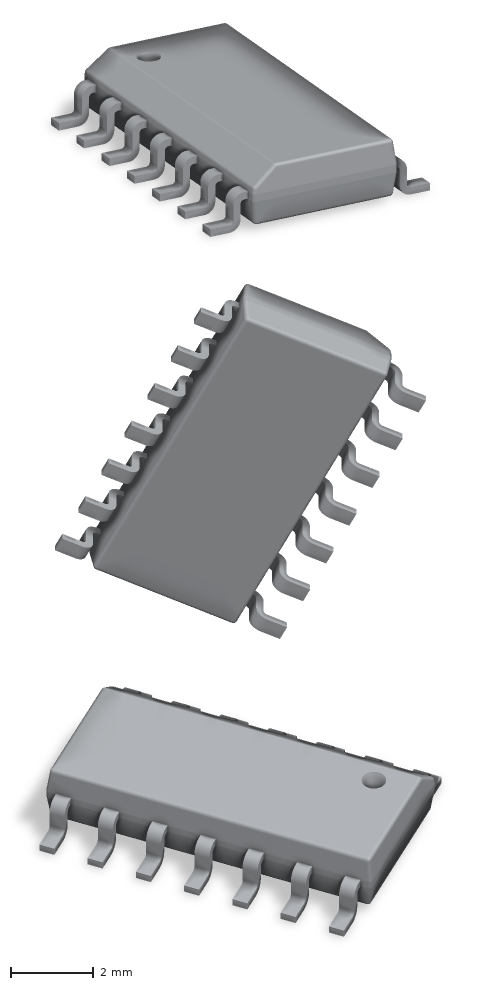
import cadquery as cq
import math

BODY_LENGTH = 8.6
BODY_WIDTH = 4.01
LEAD_SPAN = 6.08
OVERALL_HEIGHT = 1.65
STANDOFF = 0.15

LEAD_COUNT = 7
LEAD_PITCH = 1.27
LEAD_WIDTH = 0.395
LEAD_THICKNESS = 0.2
SHANK_INSET = 0.64
INNER_BEND_RADIUS = 0.1
OUTER_BEND_RADIUS = INNER_BEND_RADIUS + LEAD_THICKNESS

BAND_BOTTOM = (STANDOFF + OVERALL_HEIGHT - LEAD_THICKNESS) / 2
BAND_TOP = BAND_BOTTOM + LEAD_THICKNESS
DRAFT_ANGLE = 7.0
EDGE_RADIUS = 0.095
TOLERANCE = 0.001

BEVEL_TOP_Y = -1.35
BEVEL_WALL_HEIGHT = 1.15

DIMPLE_RIM_RADIUS = 0.3
DIMPLE_DEPTH = 0.2
DIMPLE_X = -3.18
DIMPLE_Y = -0.79


def make_drafted_half(start_height, end_height):
    """Part of the housing that narrows from the band out to end_height."""
    return (
        cq.Workplane("XY", origin=(0, 0, start_height))
        .rect(BODY_LENGTH, BODY_WIDTH)
        .extrude(end_height - start_height, taper=DRAFT_ANGLE)
    )


def make_bevel_cutter():
    """Prism whose sloping face, carried on past the wall, is the bevel."""
    wall_y = (BEVEL_WALL_HEIGHT - BAND_TOP) * math.tan(math.radians(DRAFT_ANGLE)) - BODY_WIDTH / 2
    overshoot = 2
    outer_y = BEVEL_TOP_Y - overshoot * (BEVEL_TOP_Y - wall_y)
    outer_z = OVERALL_HEIGHT - overshoot * (OVERALL_HEIGHT - BEVEL_WALL_HEIGHT)
    return (
        cq.Workplane("YZ")
        .moveTo(BEVEL_TOP_Y, OVERALL_HEIGHT)
        .lineTo(outer_y, outer_z)
        .lineTo(outer_y, OVERALL_HEIGHT)
        .close()
        .extrude(BODY_LENGTH, both=True)
    )


def is_band_rim(edge):
    """True for the level edges where the band meets the drafted walls."""
    box = edge.BoundingBox()
    is_level = box.zlen < TOLERANCE
    in_band = BAND_BOTTOM - TOLERANCE < edge.Center().z < BAND_TOP + TOLERANCE
    return is_level and in_band


def make_dimple_ball():
    """Ball that dips DIMPLE_DEPTH into the top face and cuts it in the dimple's rim."""
    ball_radius = (DIMPLE_RIM_RADIUS**2 + DIMPLE_DEPTH**2) / (2 * DIMPLE_DEPTH)
    center_z = OVERALL_HEIGHT - DIMPLE_DEPTH + ball_radius
    return cq.Workplane("XY", origin=(DIMPLE_X, DIMPLE_Y, center_z)).sphere(ball_radius)


def make_housing_shell():
    """The rounded and bevelled housing with its dimple, before the leads are let in."""
    band = (
        cq.Workplane("XY", origin=(0, 0, BAND_BOTTOM))
        .rect(BODY_LENGTH, BODY_WIDTH)
        .extrude(LEAD_THICKNESS)
    )
    upper = make_drafted_half(BAND_TOP, OVERALL_HEIGHT).cut(make_bevel_cutter())
    lower = make_drafted_half(BAND_BOTTOM, STANDOFF)
    blank = band.union(upper).union(lower)
    rounded_edges = [edge for edge in blank.edges().vals() if not is_band_rim(edge)]
    rounded = blank.newObject(rounded_edges).fillet(EDGE_RADIUS)
    return rounded.cut(make_dimple_ball())


def make_lead(center_x):
    """One lead: a flat strap through the housing, bent down and out to a foot at both ends."""
    tip = LEAD_SPAN / 2
    shank_outer = tip - SHANK_INSET
    shank_inner = shank_outer - LEAD_THICKNESS
    inner, outer = INNER_BEND_RADIUS, OUTER_BEND_RADIUS
    half = (
        cq.Workplane("YZ", origin=(center_x - LEAD_WIDTH / 2, 0, 0))
        .moveTo(0, BAND_TOP)
        .lineTo(shank_outer - outer, BAND_TOP)
        .tangentArcPoint((outer, -outer))
        .lineTo(shank_outer, LEAD_THICKNESS + inner)
        .tangentArcPoint((inner, -inner))
        .lineTo(tip, LEAD_THICKNESS)
        .lineTo(tip, 0)
        .lineTo(shank_inner + outer, 0)
        .tangentArcPoint((-outer, outer))
        .lineTo(shank_inner, BAND_BOTTOM - inner)
        .tangentArcPoint((-inner, inner))
        .lineTo(0, BAND_BOTTOM)
        .close()
        .extrude(LEAD_WIDTH)
    )
    return half.union(half.mirror("XZ"), clean=True)


def make_housing(leads):
    """The housing with a matching passage for each lead."""
    housing = make_housing_shell()
    for lead in leads:
        housing = housing.cut(lead)
    return housing


first_lead_x = -LEAD_PITCH * (LEAD_COUNT - 1) / 2
leads = [make_lead(first_lead_x + index * LEAD_PITCH) for index in range(LEAD_COUNT)]
housing = make_housing(leads)

result = cq.Compound.makeCompound([housing.solids().val(), *[lead.solids().val() for lead in leads]])